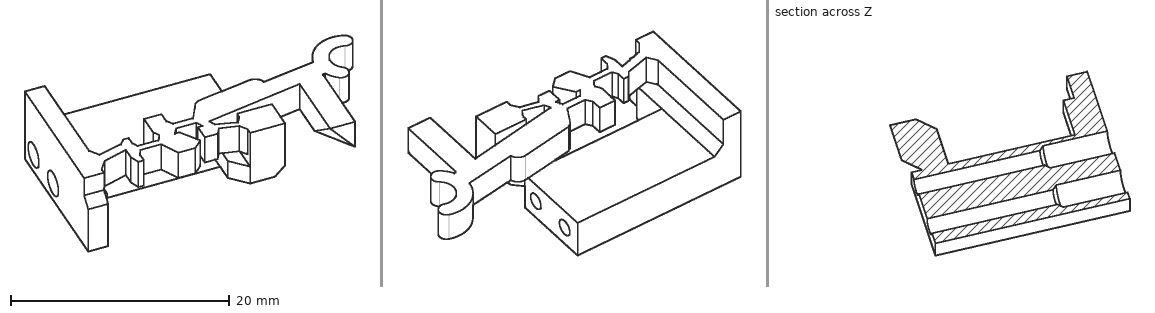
import cadquery as cq
import math

total_height = 8.0
base_height = 4.0
flexure_thickness = 3.0
flexure_bottom = total_height - flexure_thickness

base_width = 8.2
base_length = 18.5
wall_width = 14.6
wall_thickness = 2.0
wall_side_step = 0.95
inner_ledge = 1.0
inner_ledge_width = 12.13

hole_centers_x = (2.02, 6.5)
hole_center_z = 2.0
hole_entry_diameter = 2.47
hole_entry_depth = 6.1
hole_through_diameter = 1.62

anchor_left = 10.7
anchor_right = 13.72
anchor_front = 16.55
anchor_back = 20.05
bracket_front = 15.0
bracket_height = 2.0
bracket_chamfer = 1.0

arm_right = 16.07
arm_front = 23.52
arm_back = 26.03
arm_cut_length = 3.6

hook_x = 7.12
hook_y = 29.0
hook_outer_radius = 3.1
hook_inner_radius = 1.55
hook_start_angle = 160
hook_end_angle = 325


def extrude_between(sketch, bottom, top):
    """Extrude a closed XY outline from height bottom to height top."""
    return sketch.extrude(top - bottom).translate((0, 0, bottom))


def prism(points, bottom, top):
    return extrude_between(cq.Workplane("XY").polyline(points).close(), bottom, top)


def box_between(low, high):
    size = [b - a for a, b in zip(low, high)]
    return cq.Workplane("XY").box(*size, centered=False).translate(low)


def make_frame():
    """Base plate, upright wall with a stepped side, and sloped inner ledge."""
    plate = box_between((0, 0, 0), (base_width, base_length, base_height))
    wall = (
        cq.Workplane("XZ")
        .polyline([
            (0, 0),
            (wall_width, 0),
            (wall_width, flexure_bottom),
            (wall_width - wall_side_step, flexure_bottom + wall_side_step),
            (wall_width - wall_side_step, total_height),
            (0, total_height),
        ])
        .close()
        .extrude(-wall_thickness)
    )
    ledge = (
        cq.Workplane("YZ")
        .polyline([
            (0, 0),
            (wall_thickness + inner_ledge, 0),
            (wall_thickness + inner_ledge, base_height),
            (wall_thickness, base_height + inner_ledge),
            (0, base_height + inner_ledge),
        ])
        .close()
        .extrude(inner_ledge_width)
    )
    return plate.union(wall).union(ledge)


def make_stepped_hole(center_x):
    """Wide bore from the wall's outer face, narrowing by a 45 degree cone to a through bore."""
    entry_radius = hole_entry_diameter / 2
    through_radius = hole_through_diameter / 2
    cone_end = hole_entry_depth + entry_radius - through_radius
    profile = (
        cq.Workplane("XY")
        .polyline([
            (0, 0),
            (entry_radius, 0),
            (entry_radius, hole_entry_depth),
            (through_radius, cone_end),
            (through_radius, base_length),
            (0, base_length),
        ])
        .close()
    )
    bore = profile.revolve(360, (0, 0, 0), (0, 1, 0)).rotate((0, 0, 0), (0, 1, 0), 90)
    return bore.translate((center_x, 0, hole_center_z))


def make_anchor():
    """Fixed block beside the beam, carried by a low bracket on the base."""
    block = box_between(
        (anchor_left, anchor_front, bracket_height + bracket_chamfer),
        (anchor_right, anchor_back, total_height),
    )
    corner = anchor_front - bracket_front
    slant_run = anchor_left - base_width
    bracket = prism(
        [
            (base_width, bracket_front),
            (anchor_right - corner, bracket_front),
            (anchor_right, anchor_front),
            (anchor_right, anchor_back),
            (anchor_left, anchor_back),
            (base_width, anchor_back - slant_run),
        ],
        bracket_height,
        base_height,
    )
    back_chamfer = (
        cq.Workplane("YZ")
        .polyline([
            (anchor_back - bracket_chamfer, bracket_height),
            (anchor_back, bracket_height),
            (anchor_back, bracket_height + bracket_chamfer),
        ])
        .close()
        .extrude(arm_right)
    )
    return block.union(bracket.cut(back_chamfer))


def make_flexure():
    """Chain of thin links and stops from the wall to the beam and anchor."""
    outline = (
        cq.Workplane("XY")
        .polyline([
            (10.17, wall_thickness), (11.12, 2.63), (10.48, 5.07), (9.95, 5.5), (9.95, 6.05),
            (10.78, 6.05), (11.33, 6.35), (11.33, 8.43), (10.7, 8.8), (10.08, 8.43),
            (8.0, 8.43), (8.0, 10.17), (9.07, 10.17), (9.68, 10.6), (9.68, 12.62),
            (7.85, 13.63), (7.58, 14.02), (6.7, 19.55),
        ])
        .threePointArc((6.87, 20.25), (7.45, 20.65))
        .polyline([
            (6.63, 25.97), (6.87, 26.73), (8.5, 26.73), (8.6, arm_back),
            (arm_right, arm_back), (arm_right, arm_front), (9.05, arm_front),
        ], includeCurrent=True)
        .polyline([
            (10.7, 13.78), (11.3, 14.08), (11.88, 16.15), (11.15, anchor_front),
            (13.15, anchor_front), (12.4, 16.05), (11.98, 14.18), (12.65, 13.78), (12.65, 12.5),
            (11.05, 12.5), (11.05, 12.95), (10.42, 12.62), (10.42, 10.6), (11.05, 10.17),
            (11.05, 10.63), (12.9, 11.95), (anchor_right, 11.1), (anchor_right, 9.38),
        ], includeCurrent=True)
        .polyline([
            (11.98, 8.43), (11.98, 6.35), (12.53, 6.05), (13.47, 6.05), (13.47, 5.5),
            (12.55, 5.13), (11.43, 5.13), (12.13, 2.72), (13.1, wall_thickness),
        ], includeCurrent=True)
        .close()
    )
    return extrude_between(outline, flexure_bottom, total_height)


def make_hook():
    """Open ring segment with fully rounded ends."""
    def ring_point(radius, angle):
        radians = math.radians(angle)
        return (hook_x + radius * math.cos(radians), hook_y + radius * math.sin(radians))

    middle_radius = (hook_outer_radius + hook_inner_radius) / 2
    end_radius = (hook_outer_radius - hook_inner_radius) / 2
    middle_angle = (hook_start_angle + hook_end_angle) / 2
    segment = (
        cq.Workplane("XY")
        .moveTo(*ring_point(hook_outer_radius, hook_start_angle))
        .threePointArc(
            ring_point(hook_outer_radius, middle_angle),
            ring_point(hook_outer_radius, hook_end_angle),
        )
        .lineTo(*ring_point(hook_inner_radius, hook_end_angle))
        .threePointArc(
            ring_point(hook_inner_radius, middle_angle),
            ring_point(hook_inner_radius, hook_start_angle),
        )
        .close()
    )
    hook = extrude_between(segment, flexure_bottom, total_height)
    for angle in (hook_start_angle, hook_end_angle):
        end = cq.Workplane("XY").center(*ring_point(middle_radius, angle)).circle(end_radius)
        hook = hook.union(extrude_between(end, flexure_bottom, total_height))
    return hook


def make_arm_cut():
    """Tetrahedron that bevels the lower front corner of the arm tip."""
    tip = (arm_right, arm_front, total_height)
    below_tip = (arm_right, arm_front, flexure_bottom)
    back = (arm_right, arm_back, flexure_bottom)
    inner = (arm_right - arm_cut_length, arm_front, flexure_bottom)
    triangles = (
        (tip, below_tip, back),
        (tip, below_tip, inner),
        (tip, back, inner),
        (below_tip, back, inner),
    )
    faces = []
    for triangle in triangles:
        wire = cq.Wire.makePolygon([cq.Vector(*point) for point in triangle], close=True)
        faces.append(cq.Face.makeFromWires(wire))
    return cq.Workplane(obj=cq.Solid.makeSolid(cq.Shell.makeShell(faces)))


result = make_frame()
for hole_x in hole_centers_x:
    result = result.cut(make_stepped_hole(hole_x))
result = result.union(make_anchor())
result = result.union(make_flexure().cut(make_arm_cut()))
result = result.union(make_hook())